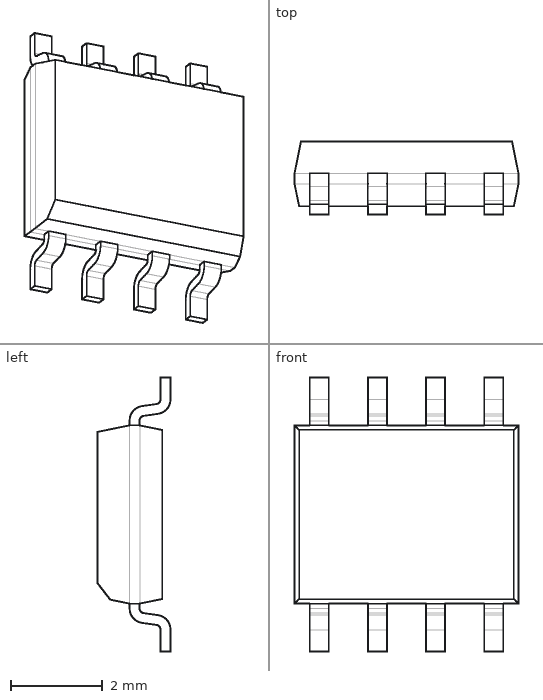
import cadquery as cq
import math


BODY_WIDTH = 4.9
BODY_HEIGHT = 3.9
BODY_FRONT = 0.18
BODY_BACK = 1.6
DRAFT = 11.5

BEVEL_DEPTH = 0.28
BEVEL_RISE = 0.305

TOTAL_HEIGHT = 5.99
LEADS_PER_SIDE = 4
LEAD_PITCH = 1.27
LEAD_WIDTH = 0.42
LEAD_THICKNESS = 0.22
LEAD_ROOT = 0.1
BEND_INNER_RADIUS = 0.1
SHANK_TILT = 8.0
BAND_FRONT = 0.675

BAND_BACK = BAND_FRONT + LEAD_THICKNESS
LEAD_EMBED = 0.12


def tapered_half(band_y, face_y):
    """Body half that narrows from the parting band to its flat face."""
    depth = abs(face_y - band_y)
    direction = math.copysign(1, face_y - band_y)
    inset = depth * math.tan(math.radians(DRAFT))
    return (
        cq.Workplane("XZ", origin=(0, band_y, 0))
        .rect(BODY_WIDTH, BODY_HEIGHT)
        .workplane(offset=-direction * depth)
        .rect(BODY_WIDTH - 2 * inset, BODY_HEIGHT - 2 * inset)
        .loft(ruled=True)
    )


def bevel_cutter():
    """Prism that removes the lower edge of the marked face."""
    slope = math.tan(math.radians(DRAFT))
    band_bottom = -BODY_HEIGHT / 2
    face_bottom = band_bottom + (BODY_BACK - BAND_BACK) * slope
    wall_y = BODY_BACK - BEVEL_DEPTH
    wall_z = band_bottom + (wall_y - BAND_BACK) * slope
    return (
        cq.Workplane("YZ")
        .moveTo(BODY_BACK, face_bottom + BEVEL_RISE)
        .lineTo(wall_y, wall_z)
        .lineTo(wall_y, band_bottom)
        .lineTo(BODY_BACK, band_bottom)
        .close()
        .extrude(BODY_WIDTH / 2, both=True)
    )


def make_body():
    band = (
        cq.Workplane("XZ", origin=(0, BAND_FRONT, 0))
        .rect(BODY_WIDTH, BODY_HEIGHT)
        .extrude(-LEAD_THICKNESS)
    )
    front_half = tapered_half(BAND_FRONT, BODY_FRONT)
    back_half = tapered_half(BAND_BACK, BODY_BACK)
    return band.union(front_half).union(back_half).cut(bevel_cutter())


def make_upper_lead():
    """Lead at X = 0 on the top edge: root, bend, tilted shank, bend, foot."""
    tilt = math.radians(SHANK_TILT)
    inner = BEND_INNER_RADIUS
    outer = inner + LEAD_THICKNESS

    bend_run = (inner + outer) * (1 - math.sin(tilt))
    shank_run = BAND_FRONT - bend_run
    shank_rise = shank_run * math.tan(tilt)

    root_z = BODY_HEIGHT / 2
    root_bend = (BAND_FRONT - inner, root_z + LEAD_ROOT)
    foot_bend_z = root_bend[1] + (inner + outer) * math.cos(tilt) + shank_rise
    foot_bend = (outer, foot_bend_z)

    def on_bend(center, radius, degrees):
        angle = math.radians(degrees)
        return (center[0] + radius * math.cos(angle), center[1] + radius * math.sin(angle))

    root_end = 90 - SHANK_TILT
    root_mid = root_end / 2
    foot_start = 180 + root_end
    foot_mid = 180 + root_mid

    return (
        cq.Workplane("YZ", origin=(-LEAD_WIDTH / 2, 0, 0))
        .moveTo(BAND_BACK, root_z - LEAD_EMBED)
        .lineTo(*on_bend(root_bend, outer, 0))
        .threePointArc(on_bend(root_bend, outer, root_mid), on_bend(root_bend, outer, root_end))
        .lineTo(*on_bend(foot_bend, inner, foot_start))
        .threePointArc(on_bend(foot_bend, inner, foot_mid), on_bend(foot_bend, inner, 180))
        .lineTo(LEAD_THICKNESS, TOTAL_HEIGHT / 2)
        .lineTo(0, TOTAL_HEIGHT / 2)
        .lineTo(*on_bend(foot_bend, outer, 180))
        .threePointArc(on_bend(foot_bend, outer, foot_mid), on_bend(foot_bend, outer, foot_start))
        .lineTo(*on_bend(root_bend, inner, root_end))
        .threePointArc(on_bend(root_bend, inner, root_mid), on_bend(root_bend, inner, 0))
        .lineTo(BAND_FRONT, root_z - LEAD_EMBED)
        .close()
        .extrude(LEAD_WIDTH)
    )


result = make_body()
upper_lead = make_upper_lead()
lower_lead = upper_lead.mirror("XY")
for index in range(LEADS_PER_SIDE):
    lead_x = (index - (LEADS_PER_SIDE - 1) / 2) * LEAD_PITCH
    result = result.union(upper_lead.translate((lead_x, 0, 0)))
    result = result.union(lower_lead.translate((lead_x, 0, 0)))